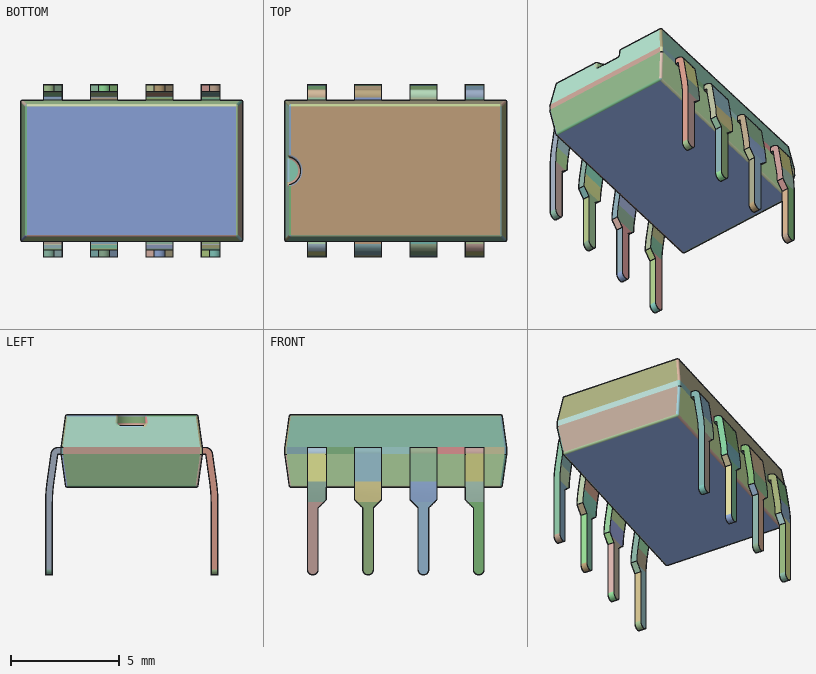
import cadquery as cq
import math

overall_height = 7.36

body_length = 10.2
body_width = 6.5
body_height = 3.34
upper_half_height = 1.5
parting_band_height = 0.32
draft_angle = 8.0
edge_radius = 0.1

notch_radius = 0.65
notch_depth = 0.5
notch_center_inset = 0.08

leads_per_side = 4
lead_pitch = 2.54
lead_span = 7.92
lead_thickness = parting_band_height
lead_embed = 0.5
lead_slope = 8.0
shoulder_width = 1.25
pin_width = 0.5
shoulder_bend_radius = 0.35
knee_radius = 6.75
knee_z = -0.69
pin_top_z = -0.94
pin_tip_z = body_height - overall_height

band_top = body_height - upper_half_height
band_bottom = band_top - parting_band_height


def tapered_half(start_z, height):
    """One half of the body, narrowing away from the parting band; a negative height points down."""
    inset = 2 * abs(height) * math.tan(math.radians(draft_angle))
    return (
        cq.Workplane("XY", origin=(0, 0, start_z))
        .rect(body_length, body_width)
        .workplane(offset=height)
        .rect(body_length - inset, body_width - inset)
        .loft(ruled=True)
    )


def make_body():
    """Double-tapered block with a straight parting band, an index notch and rounded edges."""
    band = (
        cq.Workplane("XY", origin=(0, 0, band_bottom))
        .rect(body_length, body_width)
        .extrude(parting_band_height)
    )
    upper = tapered_half(band_top, upper_half_height)
    lower = tapered_half(band_bottom, -band_bottom)
    notch = (
        cq.Workplane("XY", origin=(notch_center_inset - body_length / 2, 0, body_height - notch_depth))
        .circle(notch_radius)
        .extrude(notch_depth)
    )
    body = band.union(upper).union(lower).cut(notch)
    selection_margin = 0.01
    band_outlines = cq.selectors.BoxSelector(
        (-body_length, -body_width, band_bottom - selection_margin),
        (body_length, body_width, band_top + selection_margin),
        boundingbox=True,
    )
    band_corners = cq.selectors.ParallelDirSelector(cq.Vector(0, 0, 1))
    rounded = cq.selectors.InverseSelector(band_outlines - band_corners)
    return body.edges(rounded).fillet(edge_radius)


def point_on_arc(center, radius, degrees):
    """Point of a circle in the YZ plane, at an angle measured from +Y towards +Z."""
    angle = math.radians(degrees)
    return (center[0] + radius * math.cos(angle), center[1] + radius * math.sin(angle))


def make_lead_strip():
    """Full-width bent strip on the +Y side: root, shoulder bend, sloped run, knee, vertical pin."""
    outer_y = lead_span / 2
    root_y = body_width / 2 - lead_embed
    slope = math.radians(lead_slope)

    knee_center = (outer_y - knee_radius, knee_z)
    knee_inner_radius = knee_radius - lead_thickness
    knee_top_y, knee_top_z = point_on_arc(knee_center, knee_radius, lead_slope)

    bend_center_z = band_top - shoulder_bend_radius
    bend_end_z = bend_center_z + shoulder_bend_radius * math.sin(slope)
    bend_end_y = knee_top_y - (bend_end_z - knee_top_z) * math.tan(slope)
    bend_center = (bend_end_y - shoulder_bend_radius * math.cos(slope), bend_center_z)
    bend_inner_radius = shoulder_bend_radius - lead_thickness
    bend_middle = (90 + lead_slope) / 2

    return (
        cq.Workplane("YZ")
        .moveTo(root_y, band_top)
        .lineTo(*point_on_arc(bend_center, shoulder_bend_radius, 90))
        .threePointArc(
            point_on_arc(bend_center, shoulder_bend_radius, bend_middle),
            (bend_end_y, bend_end_z),
        )
        .lineTo(knee_top_y, knee_top_z)
        .threePointArc(
            point_on_arc(knee_center, knee_radius, lead_slope / 2),
            (outer_y, knee_z),
        )
        .lineTo(outer_y, pin_tip_z)
        .lineTo(outer_y - lead_thickness, pin_tip_z)
        .lineTo(outer_y - lead_thickness, knee_z)
        .threePointArc(
            point_on_arc(knee_center, knee_inner_radius, lead_slope / 2),
            point_on_arc(knee_center, knee_inner_radius, lead_slope),
        )
        .lineTo(*point_on_arc(bend_center, bend_inner_radius, lead_slope))
        .threePointArc(
            point_on_arc(bend_center, bend_inner_radius, bend_middle),
            point_on_arc(bend_center, bend_inner_radius, 90),
        )
        .lineTo(root_y, band_bottom)
        .close()
        .extrude(shoulder_width / 2, both=True)
    )


def make_lead_outline(left_shoulder, right_shoulder):
    """Lead silhouette along Y: wide above, 45-degree steps to the pin, round tip.

    Each shoulder value is the half width of the wide part on that side.
    """
    pin_half = pin_width / 2
    tip_start_z = pin_tip_z + pin_half
    left = [(-left_shoulder, band_top), (-left_shoulder, pin_top_z + left_shoulder - pin_half)]
    right = [(right_shoulder, pin_top_z + right_shoulder - pin_half), (right_shoulder, band_top)]
    if left_shoulder > pin_half:
        left.append((-pin_half, pin_top_z))
    if right_shoulder > pin_half:
        right.insert(0, (pin_half, pin_top_z))
    return (
        cq.Workplane("XZ")
        .polyline(left + [(-pin_half, tip_start_z)])
        .threePointArc((0, pin_tip_z), (pin_half, tip_start_z))
        .polyline(right, includeCurrent=True)
        .close()
        .extrude(-lead_span)
    )


def make_lead(index):
    """Lead on the +Y side; the end leads keep only the shoulder facing the middle of the row."""
    wide = shoulder_width / 2
    narrow = pin_width / 2
    left_shoulder = narrow if index == 0 else wide
    right_shoulder = narrow if index == leads_per_side - 1 else wide
    lead = make_lead_strip().intersect(make_lead_outline(left_shoulder, right_shoulder))
    return lead.translate(((index - (leads_per_side - 1) / 2) * lead_pitch, 0, 0))


result = make_body()
for lead_index in range(leads_per_side):
    lead = make_lead(lead_index)
    result = result.union(lead).union(lead.mirror("XZ"))